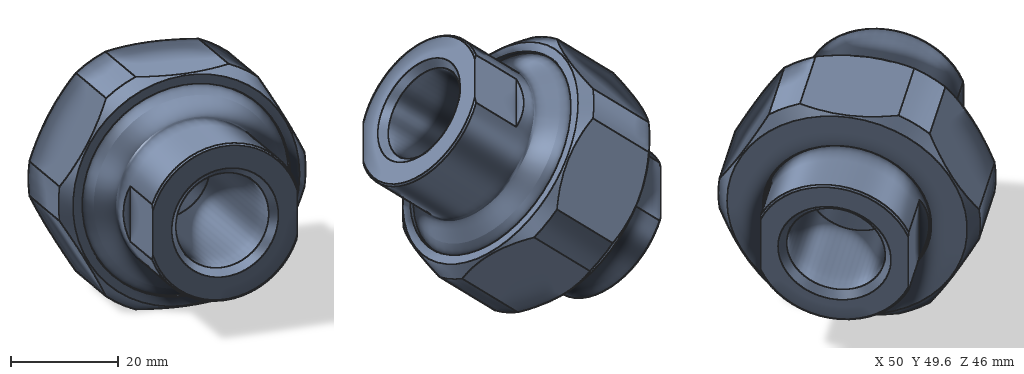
import cadquery as cq
import math


TOTAL_LENGTH = 50
NUT_START = 12
NUT_END = 31
NUT_WALL = 4
FLANGE_THICKNESS = 4
COLLAR_FOOT = 32
SHOULDER_END = 35

PIPE_DIA = 31
BORE_DIA = 18.65
COUNTERSINK_DIA = 21.4
COLLAR_DIA = 41.8
COLLAR_FOOT_DIA = 38
NUT_HOLE_DIA = 31.5
NUT_CORNER_DIA = 49.65
NUT_FACE_DIA = 45.5
NUT_ACROSS_FLATS = 46
HEX_SIDES = 6

PIPE_CHAMFER = 0.35
NUT_HOLE_CHAMFER = 0.25
SHOULDER_FILLET = 0.6

LEFT_ACROSS_FLATS = 28
LEFT_FLAT_END = 10.55
RIGHT_ACROSS_FLATS = 29
RIGHT_FLAT_START = 39

PIPE_RADIUS = PIPE_DIA / 2
BORE_RADIUS = BORE_DIA / 2
COUNTERSINK_RADIUS = COUNTERSINK_DIA / 2
COUNTERSINK_DEPTH = COUNTERSINK_RADIUS - BORE_RADIUS
COLLAR_RADIUS = COLLAR_DIA / 2
COLLAR_FOOT_RADIUS = COLLAR_FOOT_DIA / 2
FLANGE_START = NUT_START + NUT_WALL
JOINT_X = FLANGE_START + FLANGE_THICKNESS


def revolve_profile(points):
    """Turn a closed outline of (x, radius) points around the X axis."""
    return cq.Workplane("XY").polyline(points).close().revolve(360, (0, 0, 0), (1, 0, 0))


def wrench_flats(end_x, step_x, across_flats):
    """Two cutters that leave flats on the +Y and -Y sides, each ending in a 45 degree run-out."""
    flat_y = across_flats / 2
    run_out = PIPE_RADIUS - flat_y
    run_out_x = step_x + math.copysign(run_out, step_x - end_x)
    upper = (
        cq.Workplane("XY")
        .polyline([(end_x, flat_y), (step_x, flat_y), (run_out_x, PIPE_RADIUS), (end_x, PIPE_RADIUS)])
        .close()
        .extrude(PIPE_RADIUS, both=True)
    )
    return upper.union(upper.mirror("XZ"))


def make_left_tail():
    """Pipe end with a flange that sits against the inner wall of the nut."""
    tail = revolve_profile([
        (0, COUNTERSINK_RADIUS),
        (0, PIPE_RADIUS - PIPE_CHAMFER),
        (PIPE_CHAMFER, PIPE_RADIUS),
        (FLANGE_START, PIPE_RADIUS),
        (FLANGE_START, COLLAR_RADIUS),
        (JOINT_X, COLLAR_RADIUS),
        (JOINT_X, BORE_RADIUS),
        (COUNTERSINK_DEPTH, BORE_RADIUS),
    ])
    return tail.cut(wrench_flats(0, LEFT_FLAT_END, LEFT_ACROSS_FLATS))


def make_right_body():
    """Pipe end with a wide collar inside the nut and a conical shoulder outside it."""
    collar_chamfer = COLLAR_RADIUS - COLLAR_FOOT_RADIUS
    body = revolve_profile([
        (JOINT_X, BORE_RADIUS),
        (JOINT_X, COLLAR_RADIUS),
        (COLLAR_FOOT - collar_chamfer, COLLAR_RADIUS),
        (COLLAR_FOOT, COLLAR_FOOT_RADIUS),
        (SHOULDER_END, PIPE_RADIUS),
        (TOTAL_LENGTH - PIPE_CHAMFER, PIPE_RADIUS),
        (TOTAL_LENGTH, PIPE_RADIUS - PIPE_CHAMFER),
        (TOTAL_LENGTH, COUNTERSINK_RADIUS),
        (TOTAL_LENGTH - COUNTERSINK_DEPTH, BORE_RADIUS),
    ])
    shoulder_corner = cq.selectors.NearestToPointSelector((SHOULDER_END, 0, 0))
    circles = body.edges("%CIRCLE")
    body = circles.edges(shoulder_corner).fillet(SHOULDER_FILLET)
    return body.cut(wrench_flats(TOTAL_LENGTH, RIGHT_FLAT_START, RIGHT_ACROSS_FLATS))


def make_nut():
    """Hexagon with flats facing +Z and -Z, corners turned round and both ends chamfered."""
    corner_radius = NUT_CORNER_DIA / 2
    face_radius = NUT_FACE_DIA / 2
    hole_radius = NUT_HOLE_DIA / 2
    end_chamfer = corner_radius - face_radius
    turned = revolve_profile([
        (NUT_START, hole_radius + NUT_HOLE_CHAMFER),
        (NUT_START, face_radius),
        (NUT_START + end_chamfer, corner_radius),
        (NUT_END - end_chamfer, corner_radius),
        (NUT_END, face_radius),
        (NUT_END, COLLAR_RADIUS),
        (FLANGE_START, COLLAR_RADIUS),
        (FLANGE_START, hole_radius),
        (NUT_START + NUT_HOLE_CHAMFER, hole_radius),
    ])
    hex_radius = NUT_ACROSS_FLATS / 2 / math.cos(math.pi / HEX_SIDES)
    corner_angles = [2 * math.pi * index / HEX_SIDES for index in range(HEX_SIDES)]
    hexagon = (
        cq.Workplane("YZ", origin=(NUT_START, 0, 0))
        .polyline([(hex_radius * math.cos(angle), hex_radius * math.sin(angle)) for angle in corner_angles])
        .close()
        .extrude(NUT_END - NUT_START)
    )
    return turned.intersect(hexagon)


left_tail = make_left_tail()
right_body = make_right_body()
nut = make_nut()

result = cq.Compound.makeCompound([
    left_tail.solids().val(),
    right_body.solids().val(),
    nut.solids().val(),
])